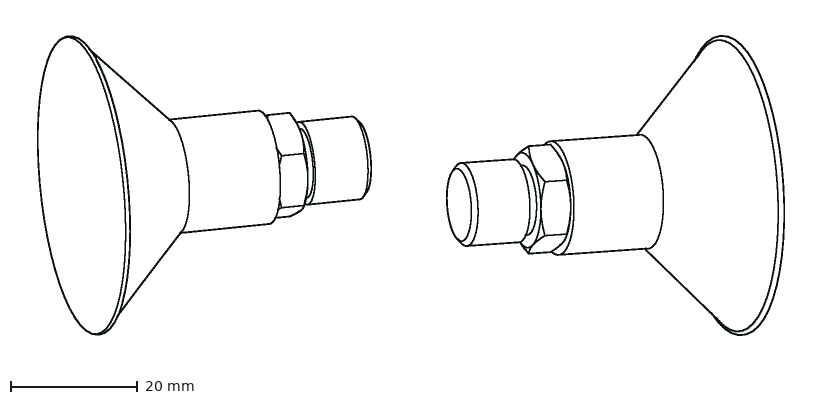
import cadquery as cq
import math

rim_thickness = 0.85
cup_height = 15.0
body_length = 15.0
hex_length = 5.0
neck_length = 1.5
total_length = 46.0
body_end = cup_height + body_length
hex_end = body_end + hex_length
neck_end = hex_end + neck_length

rim_diameter = 47.31
rim_round_radius = 0.5
cone_base_diameter = 46.0

body_diameter = 18.0
hex_across_flats = 15.0
hex_chamfer_angle = 30.0
neck_diameter = 11.0
thread_diameter = 13.16
thread_chamfer_length = 0.8
thread_chamfer_depth = 0.85


def make_turned_body():
    """Suction cup, cylindrical body, neck and thread as one revolved profile."""
    body_radius = body_diameter / 2
    neck_radius = neck_diameter / 2
    thread_radius = thread_diameter / 2

    round_center_radius = rim_diameter / 2 - rim_round_radius
    round_center_y = rim_thickness - rim_round_radius
    face_radius = round_center_radius + math.sqrt(rim_round_radius**2 - round_center_y**2)

    profile = (
        cq.Workplane("XY")
        .lineTo(face_radius, 0)
        .threePointArc((rim_diameter / 2, round_center_y), (round_center_radius, rim_thickness))
        .lineTo(cone_base_diameter / 2, rim_thickness)
        .lineTo(body_radius, cup_height)
        .lineTo(body_radius, body_end)
        .lineTo(neck_radius, body_end)
        .lineTo(neck_radius, neck_end)
        .lineTo(thread_radius, neck_end)
        .lineTo(thread_radius, total_length - thread_chamfer_length)
        .lineTo(thread_radius - thread_chamfer_depth, total_length)
        .lineTo(0, total_length)
        .close()
    )
    return profile.revolve(360, (0, 0, 0), (0, 1, 0))


def make_hex():
    """Hexagon with flats facing +X and -X and both ends chamfered by a cone."""
    corner_radius = hex_across_flats / 2 / math.cos(math.pi / 6)
    flat_radius = hex_across_flats / 2
    chamfer_length = (corner_radius - flat_radius) * math.tan(math.radians(hex_chamfer_angle))

    prism = (
        cq.Workplane("XZ", origin=(0, body_end, 0))
        .transformed(rotate=(0, 0, 90))
        .polygon(6, 2 * corner_radius)
        .extrude(-hex_length)
    )
    chamfer_envelope = (
        cq.Workplane("XY")
        .moveTo(0, body_end)
        .lineTo(flat_radius, body_end)
        .lineTo(corner_radius, body_end + chamfer_length)
        .lineTo(corner_radius, hex_end - chamfer_length)
        .lineTo(flat_radius, hex_end)
        .lineTo(0, hex_end)
        .close()
        .revolve(360, (0, 0, 0), (0, 1, 0))
    )
    return prism.intersect(chamfer_envelope)


result = make_turned_body().union(make_hex())